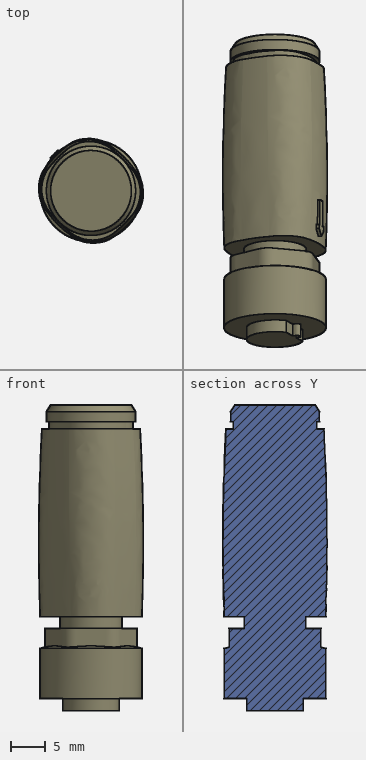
import cadquery as cq
import math

SPIGOT_TOP = 1.75
NUT_EDGE = 8.98
NUT_TOP = 9.35
HEX_TOP = 11.85
SLEEVE_BOTTOM = 13.5
SLEEVE_MIDDLE = 24.65
SLEEVE_TOP = 40.52
CAP_BOTTOM = 41.55
CAP_BEVEL = 43.05
TOTAL_HEIGHT = 44.0

KEY_ANGLE = 135

SPIGOT_RADIUS = 4.1
KEY_FLAT_DISTANCE = 3.12
KEY_RADIUS = 0.55

NUT_RADIUS = 7.35
HEX_ACROSS_FLATS = 12.05
HEX_CORNER_RADIUS = 2.1

NECK_RADIUS = 4.5
GROOVE_REACH = 6.05
GROOVE_FLAT = 5.5
GROOVE_ROUND = 5.7
GROOVE_HALF_FLAT = 1.6
CAP_RADIUS = 6.42
CAP_TOP_RADIUS = 5.8

SLEEVE_SECTIONS = [
    (SLEEVE_BOTTOM, 7.35, 6.5, 6.95, 2.2, 0.2),
    (SLEEVE_MIDDLE, 7.52, 6.78, 7.2, 2.2, 0.18),
    (SLEEVE_TOP, 7.1, 6.45, 6.75, 1.95, 0.1),
]

ARROW_FACE = 7.5
ARROW_DEPTH = 1.3
ARROW_SHAFT_HALF = 0.5
ARROW_HEAD_HALF = 0.8
ARROW_TOP = 19.85
ARROW_SHOULDER = 16.1
ARROW_TAPER = 15.5
ARROW_TIP = 14.5


def cylinder(radius, bottom, top):
    return cq.Workplane("XY").workplane(offset=bottom).circle(radius).extrude(top - bottom)


def diagonal_point(angle, outward, sideways):
    """Point at a distance out along a direction and a distance to its left."""
    turn = math.radians(angle)
    x = outward * math.cos(turn) - sideways * math.sin(turn)
    y = outward * math.sin(turn) + sideways * math.cos(turn)
    return (x, y)


def rounded_square(height, axis_reach, sides):
    """Outline with round noses on X and Y joined by four crowned diagonal sides.

    sides lists the (reach, half width, crown) of the diagonals at 45, 135, 225 and 315.
    """
    angles = [45, 135, 225, 315]
    reach, half, crown = sides[0]
    start = diagonal_point(angles[0], reach - crown, -half)
    outline = cq.Workplane("XY").workplane(offset=height).moveTo(*start)
    for index, angle in enumerate(angles):
        reach, half, crown = sides[index]
        side_end = diagonal_point(angle, reach - crown, half)
        if crown:
            outline = outline.threePointArc(diagonal_point(angle, reach, 0), side_end)
        else:
            outline = outline.lineTo(*side_end)
        next_index = (index + 1) % len(sides)
        reach, half, crown = sides[next_index]
        nose_end = diagonal_point(angles[next_index], reach - crown, -half)
        outline = outline.threePointArc(diagonal_point(angle + 45, axis_reach, 0), nose_end)
    return outline.close()


def make_spigot():
    flat_cut = (
        cq.Workplane("XY")
        .center(KEY_FLAT_DISTANCE + SPIGOT_RADIUS, 0)
        .rect(2 * SPIGOT_RADIUS, 2 * SPIGOT_RADIUS)
        .extrude(SPIGOT_TOP)
    )
    nose_center = SPIGOT_RADIUS - KEY_RADIUS
    key = (
        cq.Workplane("XY")
        .moveTo(0, -KEY_RADIUS)
        .lineTo(nose_center, -KEY_RADIUS)
        .threePointArc((SPIGOT_RADIUS, 0), (nose_center, KEY_RADIUS))
        .lineTo(0, KEY_RADIUS)
        .close()
        .extrude(SPIGOT_TOP)
    )
    spigot = cylinder(SPIGOT_RADIUS, 0, SPIGOT_TOP).cut(flat_cut).union(key)
    return spigot.rotate((0, 0, 0), (0, 0, 1), KEY_ANGLE)


def make_nut():
    slope_inner = HEX_ACROSS_FLATS / 2
    body = (
        cq.Workplane("XZ")
        .moveTo(0, SPIGOT_TOP)
        .lineTo(NUT_RADIUS, SPIGOT_TOP)
        .lineTo(NUT_RADIUS, NUT_EDGE)
        .lineTo(slope_inner, NUT_TOP)
        .lineTo(0, NUT_TOP)
        .close()
        .revolve(360, (0, 0), (0, 1))
    )
    hexagon = (
        cq.Workplane("XY")
        .workplane(offset=SPIGOT_TOP)
        .polygon(6, HEX_ACROSS_FLATS / math.cos(math.pi / 6))
        .extrude(HEX_TOP - SPIGOT_TOP)
        .edges("|Z")
        .fillet(HEX_CORNER_RADIUS)
    )
    return body.union(hexagon)


def make_sleeve():
    wires = []
    for height, axis_reach, near_reach, broad_reach, half, crown in SLEEVE_SECTIONS:
        near_side = (near_reach, half, crown)
        broad_side = (broad_reach, half, crown)
        sides = [near_side, broad_side, near_side, broad_side]
        wires.append(rounded_square(height, axis_reach, sides).val())
    return cq.Workplane(cq.Solid.makeLoft(wires))


def make_arrow():
    right_half = [
        (ARROW_SHAFT_HALF, ARROW_TOP),
        (ARROW_SHAFT_HALF, ARROW_SHOULDER),
        (ARROW_HEAD_HALF, ARROW_SHOULDER),
        (ARROW_HEAD_HALF, ARROW_TAPER),
    ]
    left_half = [(-across, height) for across, height in reversed(right_half)]
    arrow = (
        cq.Workplane("YZ")
        .workplane(offset=ARROW_FACE - ARROW_DEPTH)
        .polyline(right_half + [(0, ARROW_TIP)] + left_half)
        .close()
        .extrude(ARROW_DEPTH)
    )
    return arrow.rotate((0, 0, 0), (0, 0, 1), KEY_ANGLE)


def make_groove_ring():
    crowned = (GROOVE_ROUND, GROOVE_HALF_FLAT, GROOVE_ROUND - GROOVE_FLAT)
    flat = (GROOVE_FLAT, GROOVE_HALF_FLAT, 0)
    outline = rounded_square(SLEEVE_TOP, GROOVE_REACH, [crowned, crowned, flat, crowned])
    return outline.extrude(CAP_BOTTOM - SLEEVE_TOP)


def make_cap():
    return (
        cylinder(CAP_RADIUS, CAP_BOTTOM, TOTAL_HEIGHT)
        .faces(">Z")
        .edges()
        .chamfer(TOTAL_HEIGHT - CAP_BEVEL, CAP_RADIUS - CAP_TOP_RADIUS)
    )


result = (
    make_spigot()
    .union(make_nut())
    .union(cylinder(NECK_RADIUS, HEX_TOP, SLEEVE_BOTTOM))
    .union(make_sleeve())
    .union(make_arrow())
    .union(make_groove_ring())
    .union(make_cap())
)